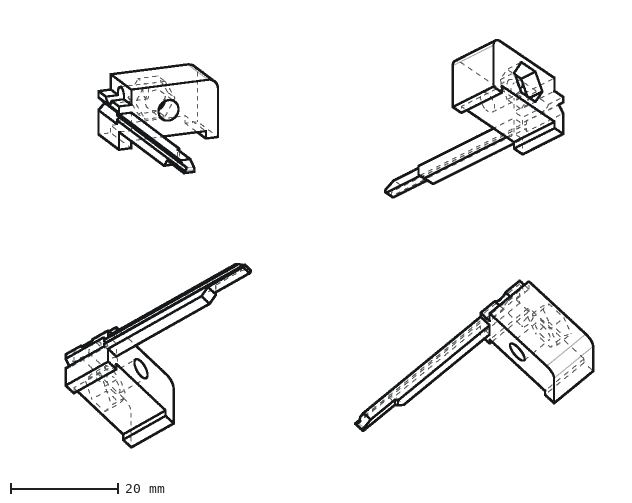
import cadquery as cq
import math

block_length = 10.0
block_depth = 20.0
block_height = 11.5
ledge_width = 2.5
ledge_drop = 3.0
foot_height = 1.47
top_round_radius = 2.0

bore_diameter = 4.0
bore_y = block_depth / 2
bore_z = 6.5
hex_across_corners = 2 * bore_diameter
hex_pocket_depth = 3.5

pin_diameter = 2.9
pin_x = block_length / 2
pin_z = 9.0
pin_depth = 5.0

arm_end = 42.1
arm_bottom = 3.5
arm_top = 7.0
tail_bottom = 5.0
underside_step_x = 32.0
tail_thickness = 1.98
back_step_x = 33.5
back_step_angle = 60
tip_slope_x = 40.0
tip_slope_angle = 30
tip_slope_end_x = 41.75
tip_nose_z = 5.55
tip_corner_x = 41.8

groove_z = 6.0
wide_groove_depth = 1.25
wide_groove_length = 9.0
narrow_groove_depth = 0.5


def make_block():
    """Constant YZ section with a front ledge, two feet and a rounded rear top edge."""
    ledge_z = block_height - ledge_drop
    return (
        cq.Workplane("YZ")
        .moveTo(0, 0)
        .lineTo(0, ledge_z)
        .lineTo(ledge_width, ledge_z)
        .lineTo(ledge_width, block_height)
        .lineTo(block_depth - top_round_radius, block_height)
        .radiusArc((block_depth, block_height - top_round_radius), top_round_radius)
        .lineTo(block_depth, 0)
        .lineTo(block_depth - ledge_width, 0)
        .lineTo(block_depth - ledge_width, foot_height)
        .lineTo(ledge_width, foot_height)
        .lineTo(ledge_width, 0)
        .close()
        .extrude(block_length)
    )


def make_arm():
    """Side outline of the arm intersected with its stepped plan outline."""
    underside_rise = tail_bottom - arm_bottom
    slope_drop = (tip_slope_end_x - tip_slope_x) * math.tan(math.radians(tip_slope_angle))
    side = (
        cq.Workplane("XZ")
        .moveTo(block_length, arm_bottom)
        .lineTo(underside_step_x, arm_bottom)
        .lineTo(underside_step_x + underside_rise, tail_bottom)
        .lineTo(tip_corner_x, tail_bottom)
        .threePointArc((arm_end, tip_nose_z), (tip_slope_end_x, arm_top - slope_drop))
        .lineTo(tip_slope_x, arm_top)
        .lineTo(block_length, arm_top)
        .close()
        .extrude(-ledge_width)
    )
    back_step_run = (ledge_width - tail_thickness) / math.tan(math.radians(back_step_angle))
    plan = (
        cq.Workplane("XY")
        .moveTo(block_length, 0)
        .lineTo(arm_end, 0)
        .lineTo(arm_end, tail_thickness)
        .lineTo(back_step_x + back_step_run, tail_thickness)
        .lineTo(back_step_x, ledge_width)
        .lineTo(block_length, ledge_width)
        .close()
        .extrude(block_height)
    )
    return side.intersect(plan)


def make_groove(depth, length):
    """V groove cutter along X, open on the Y = 0 face."""
    return (
        cq.Workplane("YZ")
        .moveTo(0, groove_z - depth)
        .lineTo(depth, groove_z)
        .lineTo(0, groove_z + depth)
        .close()
        .extrude(length)
    )


def make_bore():
    """Through bore along X with its hexagonal pocket."""
    section = cq.Workplane("YZ").center(bore_y, bore_z)
    bore = section.circle(bore_diameter / 2).extrude(block_length)
    pocket = section.polygon(6, hex_across_corners).extrude(hex_pocket_depth)
    return bore.union(pocket)


def make_pin_hole():
    """Blind hole along Y, notching the ledge and entering the block behind it."""
    return (
        cq.Workplane("XZ")
        .center(pin_x, pin_z)
        .circle(pin_diameter / 2)
        .extrude(-(ledge_width + pin_depth))
    )


result = (
    make_block()
    .union(make_arm())
    .cut(make_groove(wide_groove_depth, wide_groove_length))
    .cut(make_groove(narrow_groove_depth, arm_end))
    .cut(make_bore())
    .cut(make_pin_hole())
)